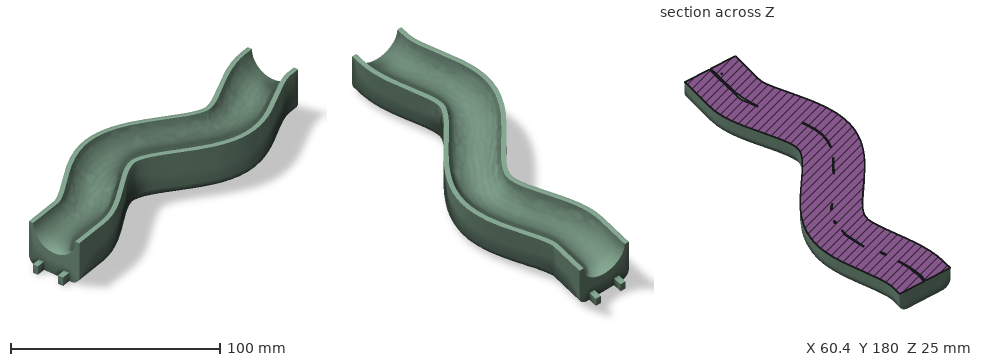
import cadquery as cq

TRACK_WIDTH = 30.0
TRACK_HEIGHT = 25.0
CHANNEL_RADIUS = 12.5
BOTTOM_EDGE_RADIUS = 5.0

ENTRY_LENGTH = 20.0
WINDING_LENGTH = 150.0
EXIT_LENGTH = 5.0
LEFT_BEND = (-17.62, 48.7)
RIGHT_BEND = (12.62, 101.8)
ENTRY_TANGENT = (0.0, 0.8)
EXIT_TANGENT = (0.0, 1.0)

PEG_WIDTH = 3.0
PEG_HEIGHT = 5.0
PEG_LENGTH = 5.0
PEG_SPACING = 15.0


def track_section(y):
    """Section of the track at the given Y: round channel on top, rounded bottom edges."""
    half_width = TRACK_WIDTH / 2
    flat_half_width = half_width - BOTTOM_EDGE_RADIUS
    channel_floor = TRACK_HEIGHT - CHANNEL_RADIUS
    return (
        cq.Workplane("XZ", origin=(0, y, 0))
        .moveTo(-half_width, TRACK_HEIGHT)
        .lineTo(-half_width, BOTTOM_EDGE_RADIUS)
        .radiusArc((-flat_half_width, 0), -BOTTOM_EDGE_RADIUS)
        .lineTo(flat_half_width, 0)
        .radiusArc((half_width, BOTTOM_EDGE_RADIUS), -BOTTOM_EDGE_RADIUS)
        .lineTo(half_width, TRACK_HEIGHT)
        .lineTo(CHANNEL_RADIUS, TRACK_HEIGHT)
        .threePointArc((0, channel_floor), (-CHANNEL_RADIUS, TRACK_HEIGHT))
        .close()
    )


def straight_track(start_y, length):
    """Straight stretch running from start_y toward +Y."""
    return track_section(start_y).extrude(-length)


def winding_track():
    """Stretch that swings to -X and then to +X between the two straight ends."""
    centre_line = cq.Workplane("XY").spline(
        [(0, 0), LEFT_BEND, RIGHT_BEND, (0, WINDING_LENGTH)],
        tangents=[ENTRY_TANGENT, EXIT_TANGENT],
        scale=False,
    )
    return track_section(0).sweep(centre_line)


def connector_peg(x):
    """Block standing out from the entry face toward -Y, centred on the given X."""
    return (
        cq.Workplane("XY")
        .box(PEG_WIDTH, PEG_LENGTH, PEG_HEIGHT, centered=(True, False, False))
        .translate((x, -ENTRY_LENGTH - PEG_LENGTH, 0))
    )


result = winding_track()
result = result.union(straight_track(-ENTRY_LENGTH, ENTRY_LENGTH))
result = result.union(straight_track(WINDING_LENGTH, EXIT_LENGTH))
for side in (-1, 1):
    result = result.union(connector_peg(side * PEG_SPACING / 2))